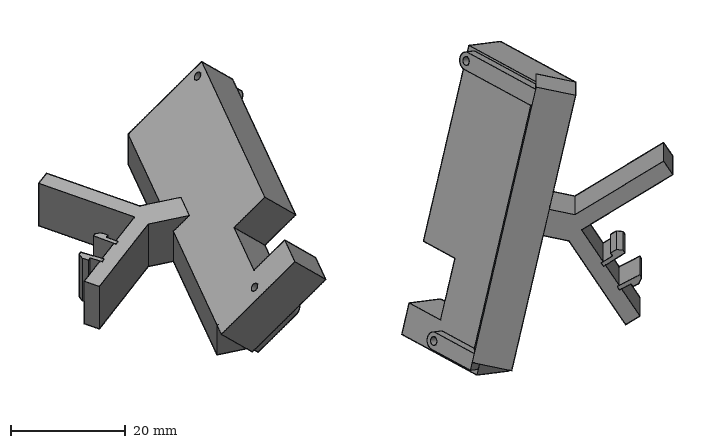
import cadquery as cq
import math

ARM_LENGTH = 18.9
ARM_THICKNESS = 3.0
BRACKET_HEIGHT = 10.0
STEM_WIDTH = 5.0
STEM_REACH = 17.55

HOUSING_LENGTH = 54.7
HOUSING_HEIGHT = 19.0
HOUSING_DEPTH = 8.0
HOUSING_START = -24.05
HOUSING_DISTANCE = 6.3
NOTCH_START = 37.05
NOTCH_WIDTH = 11.65
NOTCH_DEPTH = 7.95

SUPPORT_END_INSET = 2.6
LUG_THICKNESS = 2.0
LUG_RADIUS = 1.6
HOLE_DIAMETER = 1.5
HIGH_HOLE = (2.0, 17.1)
LOW_HOLE = (HOUSING_LENGTH - 2.7, 9.8)
HOLES = (HIGH_HOLE, LOW_HOLE)
SUPPORT_SIDE = (HOUSING_DEPTH + LUG_THICKNESS) / math.sqrt(2)

CLIP_LENGTH = 4.5
CLIP_HALF_THICKNESS = 0.38
CLIP_TIP_OFFSET = 0.25
CLIP_INSET = 0.4
HOOK_OFFSET = 1.0
HOOK_HEEL = 2.35
HOOK_CREST_END = 3.6
CLIPS = (
    (-7.4, 1, 1.0),
    (-12.55, -1, 4.0),
)

HALF_ROOT = 1 / math.sqrt(2)
ALONG = cq.Vector(HALF_ROOT, -HALF_ROOT, 0)
BACKWARD = cq.Vector(HALF_ROOT, HALF_ROOT, 0)
UP = cq.Vector(0, 0, 1)
CORNER = ALONG * HOUSING_START + BACKWARD * HOUSING_DISTANCE + UP * SUPPORT_SIDE
SLOPE = cq.Plane(origin=CORNER, xDir=ALONG, normal=UP - BACKWARD)
LEVEL = cq.Plane(origin=CORNER, xDir=ALONG, normal=UP)


def make_lug(hole):
    """Strip behind the housing with a round top concentric with the hole."""
    along, up_slope = hole
    return (
        cq.Workplane(SLOPE).workplane(offset=-HOUSING_DEPTH)
        .moveTo(along - LUG_RADIUS, 0)
        .lineTo(along + LUG_RADIUS, 0)
        .lineTo(along + LUG_RADIUS, up_slope)
        .threePointArc((along, up_slope + LUG_RADIUS), (along - LUG_RADIUS, up_slope))
        .close()
        .extrude(-LUG_THICKNESS)
    )


def make_screw_holes():
    """Cylinders through the housing and the lugs."""
    return (
        cq.Workplane(SLOPE).pushPoints(HOLES).circle(HOLE_DIAMETER / 2)
        .extrude(-(HOUSING_DEPTH + LUG_THICKNESS))
    )


def make_support():
    """Bar and lugs carrying the housing."""
    bar = (
        cq.Workplane(LEVEL)
        .rect(HOUSING_LENGTH - SUPPORT_END_INSET, SUPPORT_SIDE, centered=False)
        .extrude(-SUPPORT_SIDE)
    )
    for hole in HOLES:
        bar = bar.union(make_lug(hole))
    return bar.cut(make_screw_holes())


def make_housing(support):
    """Leaning slab with a notch in its top, recessed for the support bar."""
    slab = (
        cq.Workplane(SLOPE)
        .rect(HOUSING_LENGTH, HOUSING_HEIGHT, centered=False)
        .extrude(-HOUSING_DEPTH)
    )
    notch = (
        cq.Workplane(SLOPE).moveTo(NOTCH_START, HOUSING_HEIGHT - NOTCH_DEPTH)
        .rect(NOTCH_WIDTH, NOTCH_DEPTH, centered=False)
        .extrude(-HOUSING_DEPTH)
    )
    return slab.cut(notch).cut(make_screw_holes()).cut(support)


def make_clip(root_y, side, lean):
    """Snap clip pointing along -X, hooked towards the given Y side."""
    root_x = CLIP_INSET
    outline = (
        (0, -CLIP_HALF_THICKNESS),
        (CLIP_LENGTH, -CLIP_HALF_THICKNESS),
        (CLIP_LENGTH, CLIP_TIP_OFFSET),
        (HOOK_CREST_END, HOOK_OFFSET),
        (HOOK_HEEL, HOOK_OFFSET),
        (HOOK_HEEL, CLIP_HALF_THICKNESS),
        (0, CLIP_HALF_THICKNESS),
    )
    points = [(root_x - reach, root_y + side * offset) for reach, offset in outline]
    clip = cq.Workplane("XY").polyline(points).close().extrude(BRACKET_HEIGHT)
    return clip.rotate((root_x, root_y, 0), (root_x, root_y, 1), -side * lean)


def make_bracket(housing, support, clips):
    """Two arms at right angles and a diagonal stem ending against the housing."""
    left_arm = (
        cq.Workplane("XY").moveTo(-ARM_LENGTH, 0)
        .rect(ARM_LENGTH + ARM_THICKNESS, ARM_THICKNESS, centered=False)
        .extrude(BRACKET_HEIGHT)
    )
    front_arm = (
        cq.Workplane("XY").moveTo(0, -ARM_LENGTH)
        .rect(ARM_THICKNESS, ARM_LENGTH + ARM_THICKNESS, centered=False)
        .extrude(BRACKET_HEIGHT)
    )
    stem = (
        cq.Workplane(cq.Plane(origin=(0, 0, 0), xDir=BACKWARD, normal=UP))
        .moveTo(0, -STEM_WIDTH / 2)
        .rect(STEM_REACH, STEM_WIDTH, centered=False)
        .extrude(BRACKET_HEIGHT)
    )
    inside_corner = (
        cq.Workplane("XY").moveTo(-ARM_LENGTH, -ARM_LENGTH)
        .rect(ARM_LENGTH, ARM_LENGTH, centered=False)
        .extrude(BRACKET_HEIGHT)
    )
    bracket = left_arm.union(front_arm).union(stem).cut(inside_corner)
    bracket = bracket.cut(housing).cut(support)
    bracket = bracket.solids(cq.selectors.NearestToPointSelector((0, 0, 0)))
    for clip in clips:
        bracket = bracket.cut(clip)
    return bracket


support = make_support()
housing = make_housing(support)
clips = [make_clip(*clip) for clip in CLIPS]
bracket = make_bracket(housing, support, clips)

result = cq.Compound.makeCompound(
    [bracket.val(), housing.val(), support.val(), *[clip.val() for clip in clips]]
)